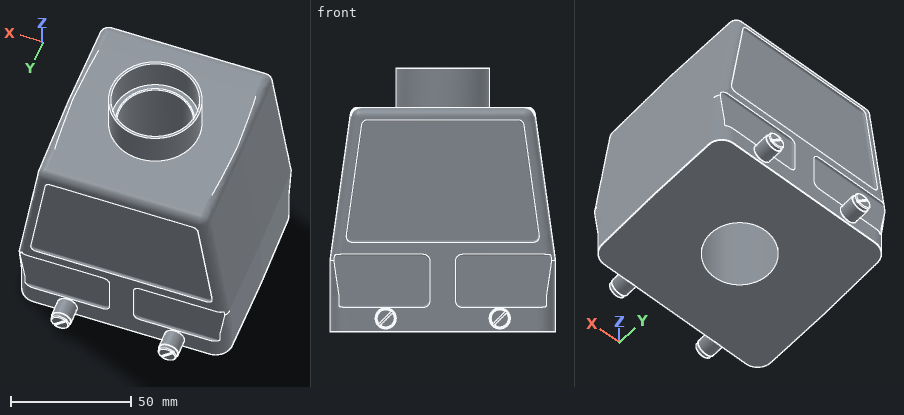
import cadquery as cq
import math

TOTAL_HEIGHT = 110.0
WIDTH = 94.0
HALF_DEPTH = 41.2
CREST_ANGLE = 0.8
FLARE_END_Z = 14.7
KINK_Z = 29.9
ROOF_Z = 93.6
ROOF_FLAT_HALF = 28.6
ROOF_HALF_WIDTH = 38.2
EDGE_RADIUS = 4.0
FOOT_RADIUS = 7.5
FOOT_CHAMFER = 0.2

COLLAR_DIA = 39.0
COLLAR_BORE_DIA = 37.0
THROUGH_BORE_DIA = 32.0
BORE_CHAMFER = 0.4
BORE_CHAMFER_ANGLE = 45.0
LEDGE_Z = 95.0

PANEL_DEPTH = 1.2
PANEL_WALL_TAPER = 15.0
PANEL_FLOOR_FILLET = 0.5
LABEL_BOTTOM_Z = 37.4
LABEL_TOP_Z = 88.4
LABEL_HALF_BOTTOM = 40.6
LABEL_HALF_TOP = 33.5
LABEL_CORNER = 2.5
LEVER_BOTTOM_Z = 10.2
LEVER_TOP_Z = 32.5
LEVER_INNER_X = 5.3
LEVER_CORNER = 3.0

PIN_X = 23.8
PIN_Z = 5.7
PIN_DIA = 8.8
PIN_TIP_DIA = 8.0
PIN_END_Y = 51.3
PIN_TIP = 2.1
PIN_CHAMFER = 0.4
SLOT_WIDTH = 0.9
SLOT_DEPTH = 0.7
SLOT_ANGLE = 45.0

CLEARANCE = 5.5

HALF_WIDTH = WIDTH / 2
CREST_SLOPE = math.tan(math.radians(CREST_ANGLE))
SIDE_LEAN = (HALF_WIDTH - ROOF_HALF_WIDTH) / (ROOF_Z - KINK_Z)
ROOF_RIDGE_Z = ROOF_Z + ROOF_FLAT_HALF * CREST_SLOPE
ROOF_EAVE_Z = ROOF_RIDGE_Z - HALF_DEPTH * CREST_SLOPE


def crest_half_width(z):
    """Half width of the hood at y = 0 for a height above the kink."""
    return HALF_WIDTH - SIDE_LEAN * (z - KINK_Z)


def plan_outline(crest_x):
    """Front half of the plan: two sides drawing in slightly toward a straight front."""
    front_x = crest_x - HALF_DEPTH * CREST_SLOPE
    return [(-crest_x, 0), (-front_x, -HALF_DEPTH), (front_x, -HALF_DEPTH), (crest_x, 0)]


def foot_section(z, corner_radius):
    """Plan below the kink with rounded front corners."""
    points = plan_outline(HALF_WIDTH)
    face = cq.Sketch().polygon(points + points[:1]).vertices("<Y").fillet(corner_radius)
    return face.moved(cq.Location(cq.Vector(0, 0, z)))


def foot_half():
    """Straight foot followed by corners that tighten up to the kink."""
    foot = cq.Workplane("XY").placeSketch(foot_section(0, FOOT_RADIUS)).extrude(FLARE_END_Z)
    foot = foot.faces("<Z").edges("not(>Y)").chamfer(FOOT_CHAMFER)
    flare = (
        cq.Workplane("XY")
        .placeSketch(foot_section(FLARE_END_Z, FOOT_RADIUS), foot_section(KINK_Z, EDGE_RADIUS))
        .loft(ruled=True)
    )
    return foot.union(flare)


def upper_half():
    """Leaning upper hood with rounded corners and roof edges, trimmed flat on top."""
    top_z = ROOF_RIDGE_Z + CLEARANCE
    block = (
        cq.Workplane("XY", origin=(0, 0, KINK_Z))
        .polyline(plan_outline(HALF_WIDTH)).close()
        .workplane(offset=top_z - KINK_Z)
        .polyline(plan_outline(crest_half_width(top_z))).close()
        .loft(ruled=True)
    )
    roof_profile = [
        (-HALF_DEPTH, KINK_Z),
        (0, KINK_Z),
        (0, ROOF_RIDGE_Z),
        (-HALF_DEPTH, ROOF_EAVE_Z),
    ]
    under_roof = cq.Workplane("YZ").polyline(roof_profile).close().extrude(HALF_WIDTH, both=True)
    block = block.intersect(under_roof)
    block = block.edges("not(>Y or <Z)").fillet(EDGE_RADIUS)
    trim = cq.Workplane("XY", origin=(0, 0, ROOF_Z))
    trim = trim.rect(2 * HALF_WIDTH, 2 * HALF_DEPTH).extrude(CLEARANCE)
    return block.cut(trim)


def recess(points, corner_radius):
    """Shallow recess in the front wall with sloping sides and a filleted floor; points are (x, z)."""
    face = cq.Sketch().polygon(points + points[:1]).vertices().fillet(corner_radius)
    return (
        cq.Workplane("XZ", origin=(0, -HALF_DEPTH, 0))
        .placeSketch(face)
        .extrude(-PANEL_DEPTH, taper=PANEL_WALL_TAPER)
        .faces(">Y")
        .edges()
        .fillet(PANEL_FLOOR_FILLET)
    )


def label_recess():
    return recess(
        [
            (-LABEL_HALF_BOTTOM, LABEL_BOTTOM_Z),
            (LABEL_HALF_BOTTOM, LABEL_BOTTOM_Z),
            (LABEL_HALF_TOP, LABEL_TOP_Z),
            (-LABEL_HALF_TOP, LABEL_TOP_Z),
        ],
        LABEL_CORNER,
    )


def lever_recess():
    """Recess on the +X side, running out through the corner of the hood."""
    outer_x = HALF_WIDTH + CLEARANCE
    return recess(
        [
            (LEVER_INNER_X, LEVER_BOTTOM_Z),
            (outer_x, LEVER_BOTTOM_Z),
            (outer_x, LEVER_TOP_Z),
            (LEVER_INNER_X, LEVER_TOP_Z),
        ],
        LEVER_CORNER,
    )


def pin(x):
    """Locking pin on the front wall: chamfered shank and slotted tip."""
    def rod(start_y, end_y, diameter):
        base = cq.Workplane("XZ", origin=(x, -start_y, PIN_Z))
        return base.circle(diameter / 2).extrude(end_y - start_y)

    shank_end = PIN_END_Y - PIN_TIP
    tip = rod(shank_end, PIN_END_Y, PIN_TIP_DIA).faces("<Y").chamfer(PIN_CHAMFER)
    slot = (
        cq.Workplane("XZ", origin=(x, -PIN_END_Y, PIN_Z))
        .transformed(rotate=(0, 0, SLOT_ANGLE))
        .rect(2 * PIN_DIA, SLOT_WIDTH)
        .extrude(-SLOT_DEPTH)
    )
    shank = rod(HALF_DEPTH, shank_end, PIN_DIA).faces(">Y").chamfer(PIN_CHAMFER)
    return shank.union(tip.cut(slot))


half = foot_half().union(upper_half())
half = half.cut(label_recess())
half = half.cut(lever_recess())
half = half.cut(lever_recess().mirror("YZ"))
for pin_x in (-PIN_X, PIN_X):
    half = half.union(pin(pin_x))
hood = half.union(half.rotate((0, 0, 0), (0, 0, 1), 180))

collar = (
    cq.Workplane("XY", origin=(0, 0, KINK_Z))
    .circle(COLLAR_DIA / 2)
    .extrude(TOTAL_HEIGHT - KINK_Z)
)
collar_bore = (
    cq.Workplane("XY", origin=(0, 0, LEDGE_Z))
    .circle(COLLAR_BORE_DIA / 2)
    .extrude(TOTAL_HEIGHT - LEDGE_Z)
)
through_bore = cq.Workplane("XY").circle(THROUGH_BORE_DIA / 2).extrude(LEDGE_Z)
bore_lead_in = (
    cq.Workplane("XY", origin=(0, 0, LEDGE_Z))
    .circle(THROUGH_BORE_DIA / 2 + BORE_CHAMFER)
    .extrude(-BORE_CHAMFER, taper=BORE_CHAMFER_ANGLE)
)
result = hood.union(collar).cut(collar_bore).cut(through_bore).cut(bore_lead_in)